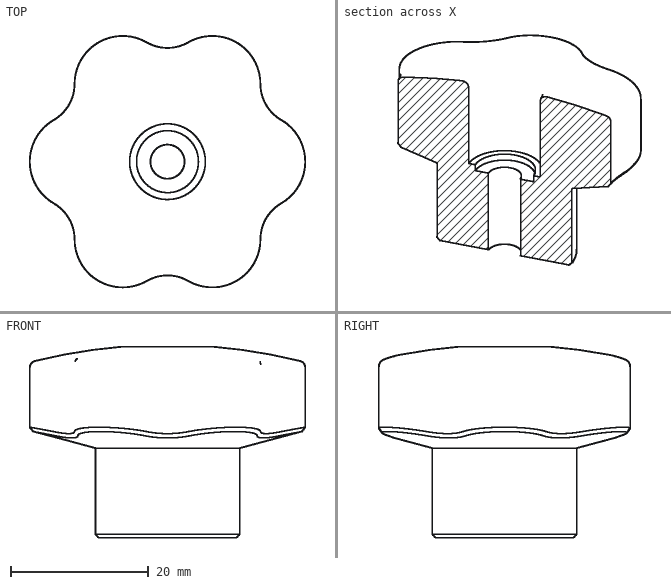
import cadquery as cq
import math

lobe_count = 6
lobe_radius = 7.0
lobe_center_distance = 13.0
valley_radius = 6.0

hub_height = 13.0
overall_height = 27.75
dome_radius = 80.0
underside_angle = 15.0

hub_diameter = 21.0
hub_chamfer = 0.5
top_edge_fillet = 1.0
underside_edge_chamfer = 0.5
blank_margin = 2.0

thread_bore_diameter = 4.92
step_diameter = 9.0
step_depth = 1.0
counterbore_diameter = 11.0
counterbore_floor_height = 14.0
counterbore_fillet = 1.0

hub_radius = hub_diameter / 2
head_radius = lobe_center_distance + lobe_radius
blank_radius = head_radius + blank_margin
half_pitch = math.pi / lobe_count

mouth_radius = counterbore_diameter / 2 + counterbore_fillet
dome_center_height = (
    overall_height
    - counterbore_fillet
    - math.sqrt((dome_radius - counterbore_fillet) ** 2 - mouth_radius**2)
)
dome_apex_height = dome_center_height + dome_radius


def polar(radius, angle):
    """Point at a given distance and direction from the axis."""
    return (radius * math.cos(angle), radius * math.sin(angle))


def star_prism():
    """Prism with the star outline, spanning the full height of the knob."""
    half_chord = lobe_center_distance * math.sin(half_pitch)
    center_spacing = lobe_radius + valley_radius
    valley_center_distance = lobe_center_distance * math.cos(half_pitch) + math.sqrt(
        center_spacing**2 - half_chord**2
    )
    valley_bottom_radius = valley_center_distance - valley_radius

    valley_x, valley_y = polar(valley_center_distance, half_pitch)
    lobe_share = lobe_radius / center_spacing
    tangent_x = lobe_center_distance + (valley_x - lobe_center_distance) * lobe_share
    tangent_y = valley_y * lobe_share
    tangent_radius = math.hypot(tangent_x, tangent_y)
    tangent_angle = math.atan2(tangent_y, tangent_x)

    outline = cq.Workplane("XY").moveTo(*polar(tangent_radius, -tangent_angle))
    for index in range(lobe_count):
        lobe_angle = 2 * half_pitch * index
        valley_angle = lobe_angle + half_pitch
        next_lobe_angle = lobe_angle + 2 * half_pitch
        outline = outline.threePointArc(
            polar(head_radius, lobe_angle),
            polar(tangent_radius, lobe_angle + tangent_angle),
        )
        outline = outline.threePointArc(
            polar(valley_bottom_radius, valley_angle),
            polar(tangent_radius, next_lobe_angle - tangent_angle),
        )
    return outline.close().extrude(dome_apex_height)


def dome_height(radius):
    """Height of the spherical top at a given distance from the axis."""
    return dome_center_height + math.sqrt(dome_radius**2 - radius**2)


def head_blank():
    """Turned disc with a conical underside and a spherical top."""
    underside_rise = (blank_radius - hub_radius) * math.tan(math.radians(underside_angle))
    return (
        cq.Workplane("XZ")
        .moveTo(0, hub_height)
        .lineTo(hub_radius, hub_height)
        .lineTo(blank_radius, hub_height + underside_rise)
        .lineTo(blank_radius, dome_height(blank_radius))
        .threePointArc((blank_radius / 2, dome_height(blank_radius / 2)), (0, dome_apex_height))
        .close()
        .revolve(360, (0, 0, 0), (0, 1, 0))
    )


def head():
    """Star-shaped grip with a rounded top edge and a chamfered underside edge."""
    star = head_blank().intersect(star_prism())
    star = star.faces(">Z").edges().fillet(top_edge_fillet)
    return star.faces("%CONE").edges("%BSPLINE").chamfer(underside_edge_chamfer)


def hub():
    """Cylindrical hub with a chamfered end."""
    return cq.Workplane("XY").circle(hub_radius).extrude(hub_height).faces("<Z").chamfer(hub_chamfer)


def cylinder(diameter, bottom, top):
    """Cylinder on the knob axis between two heights."""
    return cq.Workplane("XY").workplane(offset=bottom).circle(diameter / 2).extrude(top - bottom)


def bore():
    """Through bore with two steps opening toward the top."""
    step_floor_height = counterbore_floor_height - step_depth
    return (
        cylinder(thread_bore_diameter, 0, dome_apex_height)
        .union(cylinder(step_diameter, step_floor_height, dome_apex_height))
        .union(cylinder(counterbore_diameter, counterbore_floor_height, dome_apex_height))
    )


def round_bore_mouth(knob):
    """Round the edge where the counterbore meets the dome."""
    mouth = cq.selectors.BoxSelector(
        (-mouth_radius, -mouth_radius, dome_height(mouth_radius)),
        (mouth_radius, mouth_radius, dome_apex_height),
    )
    return knob.edges(mouth).fillet(counterbore_fillet)


result = round_bore_mouth(head().union(hub()).cut(bore()))